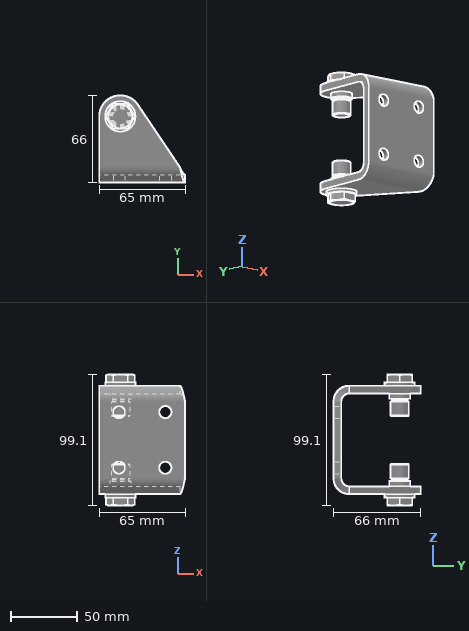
import cadquery as cq
import math

bracket_length = 65.0
bracket_height = 82.0
plate = 6.0
bend_inner_radius = 6.0
bend_outer_radius = bend_inner_radius + plate
bend_axis_z = bracket_height / 2 - bend_outer_radius

nose_radius = 16.0
pin_x = nose_radius
pin_y = 50.0
flange_root_length = 60.85
bend_end_run = bracket_length - flange_root_length

hole_diameter = 9.0
hole_spacing_x = 35.0
hole_spacing_z = 42.0
hole_centre_x = bracket_length / 2

washer_diameter = 23.0
washer_height = 2.5
hex_across_flats = 19.0
hex_height = 6.05
hex_crown_diameter = 18.0
hex_crown_drop = 0.75
collar_diameter = 16.0
collar_length = plate + 4.0
collar_chamfer = 0.2
neck_diameter = 12.0
neck_flare = 0.3
shank_diameter = 14.0
shank_start = plate + 6.2
shank_lead_in = 0.75
shank_end = plate + 17.0
shank_chamfer = 0.65


def make_web():
    """Flat back plate with its four mounting holes."""
    web = cq.Workplane("XY").box(
        bracket_length, plate, 2 * bend_axis_z, centered=(False, False, True)
    )
    holes = (
        cq.Workplane("XZ")
        .center(hole_centre_x, 0)
        .rarray(hole_spacing_x, hole_spacing_z, 2, 2)
        .circle(hole_diameter / 2)
        .extrude(-plate)
    )
    return web.cut(holes)


def make_flange():
    """Upper flange; the sloping edge is tangent to the nose arc."""
    run = flange_root_length - pin_x
    drop = bend_outer_radius - pin_y
    tangent_angle = math.atan2(drop, run) + math.acos(nose_radius / math.hypot(run, drop))
    tangent_point = (
        pin_x + nose_radius * math.cos(tangent_angle),
        pin_y + nose_radius * math.sin(tangent_angle),
    )
    return (
        cq.Workplane("XY", origin=(0, 0, bracket_height / 2 - plate))
        .moveTo(0, bend_outer_radius)
        .lineTo(flange_root_length, bend_outer_radius)
        .lineTo(*tangent_point)
        .threePointArc((pin_x, pin_y + nose_radius), (pin_x - nose_radius, pin_y))
        .close()
        .extrude(plate)
    )


def bend_section(start_x):
    """Quarter ring around the upper bend axis, from the flange side to the web side."""
    diagonal = math.sqrt(0.5)
    return (
        cq.Workplane("YZ", origin=(start_x, bend_outer_radius, bend_axis_z))
        .moveTo(0, bend_inner_radius)
        .lineTo(0, bend_outer_radius)
        .threePointArc(
            (-bend_outer_radius * diagonal, bend_outer_radius * diagonal),
            (-bend_outer_radius, 0),
        )
        .lineTo(-bend_inner_radius, 0)
        .threePointArc(
            (-bend_inner_radius * diagonal, bend_inner_radius * diagonal),
            (0, bend_inner_radius),
        )
        .close()
    )


def make_bend():
    """Upper bend; its +X end lengthens evenly with bend angle, leaving a helical end face."""
    straight = bend_section(0).extrude(flange_root_length)
    end_blank = bend_section(flange_root_length).extrude(bend_end_run)

    wedge_margin = 3.0
    inner = bend_inner_radius - wedge_margin
    outer = bend_outer_radius + wedge_margin
    wedge_turn = 90
    end_wedge = (
        cq.Workplane("YZ", origin=(flange_root_length, bend_outer_radius, bend_axis_z))
        .polyline([(0, inner), (0, outer), (-outer, outer), (-outer, -inner), (-inner, -inner)])
        .close()
        .twistExtrude(bend_end_run, wedge_turn)
    )
    return straight.union(end_blank.intersect(end_wedge))


def make_pin():
    """Upper pin on the Z axis: origin on the flange's outer face, shank pointing down."""
    collar_radius = collar_diameter / 2
    neck_radius = neck_diameter / 2
    shank_radius = shank_diameter / 2
    body = (
        cq.Workplane("XZ")
        .moveTo(0, washer_height)
        .lineTo(washer_diameter / 2, washer_height)
        .lineTo(washer_diameter / 2, 0)
        .lineTo(collar_radius, 0)
        .lineTo(collar_radius, -collar_length + collar_chamfer)
        .lineTo(collar_radius - collar_chamfer, -collar_length)
        .lineTo(neck_radius + neck_flare, -collar_length)
        .lineTo(neck_radius, -collar_length - neck_flare)
        .lineTo(neck_radius, -shank_start + shank_lead_in)
        .lineTo(shank_radius, -shank_start)
        .lineTo(shank_radius, -shank_end + shank_chamfer)
        .lineTo(shank_radius - shank_chamfer, -shank_end)
        .lineTo(0, -shank_end)
        .close()
        .revolve(360, (0, 0), (0, 1))
    )
    return body.union(make_hex_head())


def make_hex_head():
    """Hexagon with corners on the X axis, its top turned to a shallow cone."""
    corner_radius = hex_across_flats / math.sqrt(3)
    head_top = washer_height + hex_height
    hexagon = (
        cq.Workplane("XY", origin=(0, 0, washer_height))
        .polygon(6, 2 * corner_radius)
        .extrude(hex_height)
    )
    crown = (
        cq.Workplane("XZ")
        .moveTo(0, washer_height)
        .lineTo(corner_radius, washer_height)
        .lineTo(corner_radius, head_top - hex_crown_drop)
        .lineTo(hex_crown_diameter / 2, head_top)
        .lineTo(0, head_top)
        .close()
        .revolve(360, (0, 0), (0, 1))
    )
    return hexagon.intersect(crown)


pin = make_pin().translate((pin_x, pin_y, bracket_height / 2))
upper_side = make_flange().union(make_bend()).union(pin)
lower_side = upper_side.mirror("XY")

result = make_web().union(upper_side).union(lower_side)